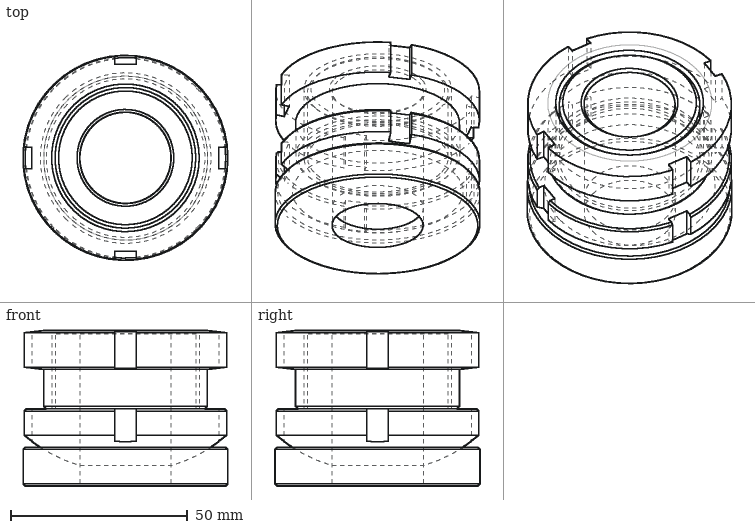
import cadquery as cq
import math

BORE_RADIUS = 12.9
EDGE_CHAMFER = 0.65
FLANGE_RADIUS = 28.8
SPANNER_NOTCH_WIDTH = 6.05
SPANNER_NOTCH_FLOOR_RADIUS = 26.45
SPANNER_NOTCH_COUNT = 4

BASE_TOP = 11.0
BALL_FLANGE_BOTTOM = 14.45
BALL_FLANGE_TOP = 21.85
COLLAR_BOTTOM = 33.0
TOTAL_HEIGHT = 44.0

BASE_RADIUS = 29.0

BALL_RADIUS = 44.95
BALL_CENTER_Z = BALL_FLANGE_BOTTOM + math.sqrt(BALL_RADIUS**2 - FLANGE_RADIUS**2)
STEM_RADIUS = 19.9
STEM_CHAMFER = 1.0
BORE_CHAMFER = 0.8

SLEEVE_OUTER_RADIUS = 23.2
SLEEVE_BORE_RADIUS = 20.9
SLEEVE_CHAMFER = 0.75
COLLAR_FACE_DROP = 0.65


def ball_height(radius):
    """Height of the lower ball surface at a distance from the axis."""
    return BALL_CENTER_Z - math.sqrt(BALL_RADIUS**2 - radius**2)


def revolve_profile(profile):
    """Turn a closed (radius, height) profile around the Z axis."""
    return profile.close().revolve(360, (0, 0, 0), (0, 1, 0))


def spanner_notches(bottom, top):
    """Cutters for the hook spanner notches, equally spaced around the rim."""
    depth = BASE_RADIUS - SPANNER_NOTCH_FLOOR_RADIUS
    cutters = cq.Workplane("XY")
    for index in range(SPANNER_NOTCH_COUNT):
        cutter = (
            cq.Workplane("XY", origin=(0, 0, bottom))
            .center(SPANNER_NOTCH_FLOOR_RADIUS + depth / 2, 0)
            .rect(depth, SPANNER_NOTCH_WIDTH)
            .extrude(top - bottom)
            .rotate((0, 0, 0), (0, 0, 1), index * 360 / SPANNER_NOTCH_COUNT)
        )
        cutters = cutters.add(cutter)
    return cutters.combine()


def make_base_ring():
    """Plain ring with a spherical seat for the ball washer."""
    ring = (
        cq.Workplane("XY")
        .circle(BASE_RADIUS)
        .extrude(BASE_TOP)
        .edges()
        .chamfer(EDGE_CHAMFER)
    )
    bore = cq.Workplane("XY").circle(BORE_RADIUS).extrude(BASE_TOP)
    ball = cq.Workplane("XY", origin=(0, 0, BALL_CENTER_Z)).sphere(BALL_RADIUS)
    return ring.cut(bore).cut(ball)


def make_ball_washer():
    """Flange with a spherical underside and a hollow stem through the nut."""
    middle_radius = (BORE_RADIUS + FLANGE_RADIUS) / 2
    profile = (
        cq.Workplane("XZ")
        .moveTo(BORE_RADIUS, ball_height(BORE_RADIUS))
        .threePointArc(
            (middle_radius, ball_height(middle_radius)),
            (FLANGE_RADIUS, BALL_FLANGE_BOTTOM),
        )
        .lineTo(FLANGE_RADIUS, BALL_FLANGE_TOP - EDGE_CHAMFER)
        .lineTo(FLANGE_RADIUS - EDGE_CHAMFER, BALL_FLANGE_TOP)
        .lineTo(STEM_RADIUS, BALL_FLANGE_TOP)
        .lineTo(STEM_RADIUS, TOTAL_HEIGHT - STEM_CHAMFER)
        .lineTo(STEM_RADIUS - STEM_CHAMFER, TOTAL_HEIGHT)
        .lineTo(BORE_RADIUS + BORE_CHAMFER, TOTAL_HEIGHT)
        .lineTo(BORE_RADIUS, TOTAL_HEIGHT - BORE_CHAMFER)
    )
    washer = revolve_profile(profile)
    return washer.cut(spanner_notches(BASE_TOP, BALL_FLANGE_TOP))


def make_adjusting_nut():
    """Collared sleeve around the stem, resting on the ball washer flange."""
    profile = (
        cq.Workplane("XZ")
        .moveTo(SLEEVE_BORE_RADIUS, BALL_FLANGE_TOP)
        .lineTo(SLEEVE_OUTER_RADIUS - SLEEVE_CHAMFER, BALL_FLANGE_TOP)
        .lineTo(SLEEVE_OUTER_RADIUS, BALL_FLANGE_TOP + SLEEVE_CHAMFER)
        .lineTo(SLEEVE_OUTER_RADIUS, COLLAR_BOTTOM)
        .lineTo(FLANGE_RADIUS, COLLAR_BOTTOM + COLLAR_FACE_DROP)
        .lineTo(FLANGE_RADIUS, TOTAL_HEIGHT - COLLAR_FACE_DROP)
        .lineTo(SLEEVE_OUTER_RADIUS, TOTAL_HEIGHT)
        .lineTo(SLEEVE_BORE_RADIUS, TOTAL_HEIGHT)
    )
    nut = revolve_profile(profile)
    return nut.cut(spanner_notches(COLLAR_BOTTOM, TOTAL_HEIGHT))


base_ring = make_base_ring().solids()
ball_washer = make_ball_washer().solids()
adjusting_nut = make_adjusting_nut().solids()

result = cq.Compound.makeCompound([base_ring.val(), ball_washer.val(), adjusting_nut.val()])